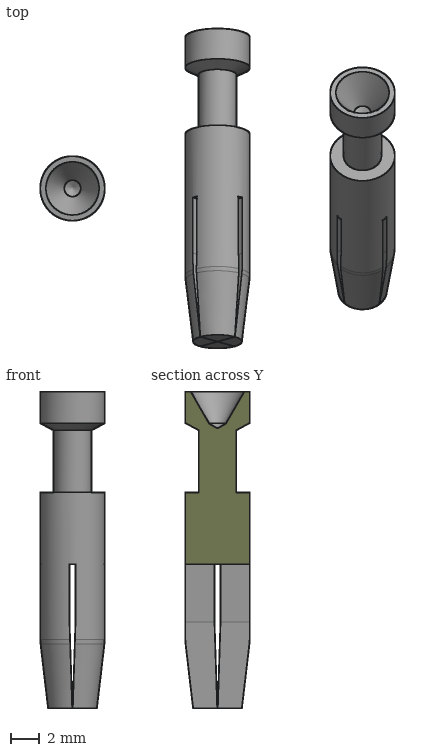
import cadquery as cq
import math

total_height = 22.0
shoulder_height = 15.0
head_underside_height = 19.3
head_rim_height = 19.8
outer_radius = 4.5 / 2
neck_radius = 2.65 / 2

tip_radius = 1.7
blend_top_height = 4.8
blend_bottom_height = 4.5

funnel_rim_radius = 1.85
funnel_bottom_radius = 0.57
funnel_angle = 60.0
point_angle = 120.0

slot_width = 0.4
slot_tip_width = 0.02
slot_top_height = 10.0
slot_taper_height = 6.0


def make_turned_body():
    """Outer shape, revolved about Z."""
    bend_height = (blend_top_height + blend_bottom_height) / 2
    cone_slope = (outer_radius - tip_radius) / bend_height
    blend_radius = tip_radius + cone_slope * blend_bottom_height
    return (
        cq.Workplane("XZ")
        .lineTo(tip_radius, 0)
        .lineTo(blend_radius, blend_bottom_height)
        .tangentArcPoint((outer_radius, blend_top_height), relative=False)
        .lineTo(outer_radius, shoulder_height)
        .lineTo(neck_radius, shoulder_height)
        .lineTo(neck_radius, head_underside_height)
        .lineTo(outer_radius, head_rim_height)
        .lineTo(outer_radius, total_height)
        .lineTo(0, total_height)
        .close()
        .revolve(360, (0, 0), (0, 1))
    )


def cone_depth(radius_change, included_angle):
    """Depth over which a cone's radius changes by the given amount."""
    return radius_change / math.tan(math.radians(included_angle / 2))


def make_funnel():
    """Conical recess in the head, opening at the top face."""
    funnel_depth = cone_depth(funnel_rim_radius - funnel_bottom_radius, funnel_angle)
    funnel_bottom_height = total_height - funnel_depth
    point_depth = cone_depth(funnel_bottom_radius, point_angle)
    return (
        cq.Workplane("XZ")
        .moveTo(0, funnel_bottom_height - point_depth)
        .lineTo(funnel_bottom_radius, funnel_bottom_height)
        .lineTo(funnel_rim_radius, total_height)
        .lineTo(0, total_height)
        .close()
        .revolve(360, (0, 0), (0, 1))
    )


def make_slot(plane):
    """Slot through the whole body, straight above and narrowing towards the tip."""
    return (
        cq.Workplane(plane)
        .moveTo(-slot_tip_width / 2, 0)
        .lineTo(-slot_width / 2, slot_taper_height)
        .lineTo(-slot_width / 2, slot_top_height)
        .lineTo(slot_width / 2, slot_top_height)
        .lineTo(slot_width / 2, slot_taper_height)
        .lineTo(slot_tip_width / 2, 0)
        .close()
        .extrude(outer_radius, both=True)
    )


result = make_turned_body().cut(make_funnel())
for slot_plane in ("XZ", "YZ"):
    result = result.cut(make_slot(slot_plane))